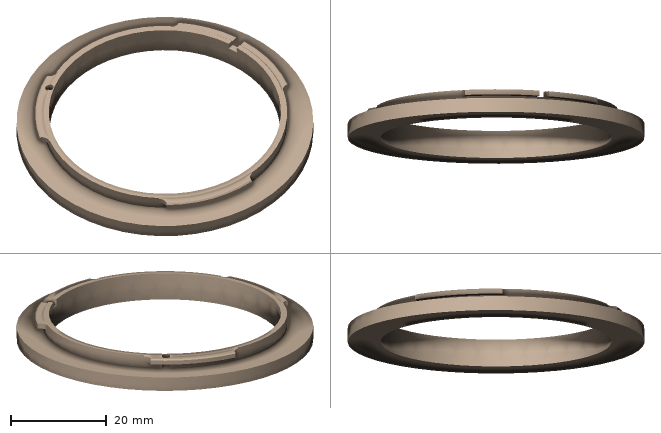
import cadquery as cq
import math

flange_radius = 31.0
flange_height = 3.0
bore_radius = 24.1
bore_top_radius = 24.25
collar_radius = 25.55
total_height = 5.75

tab_spans = [(54.2, 119.7), (192.0, 231.5), (306.7, 348.1)]
tab_radius = 27.1
tab_bottom = 4.4
edge_bevel = 0.25
tab_top = total_height - edge_bevel
tab_end_radius = tab_radius - collar_radius
tab_end_flare = math.degrees(tab_end_radius / collar_radius)
tab_overlap = 0.6

notch_width = 2.05
notch_bottom = tab_bottom

pin_diameter = 1.75
pin_position_radius = 25.25
pin_angle = 199.0


def polar(radius, degrees):
    angle = math.radians(degrees)
    return (radius * math.cos(angle), radius * math.sin(angle))


def flanged_collar():
    """Flange and collar around a bore that widens slightly towards the top."""
    return (
        cq.Workplane("XZ")
        .moveTo(bore_radius, 0)
        .lineTo(flange_radius, 0)
        .lineTo(flange_radius, flange_height)
        .lineTo(collar_radius, flange_height)
        .lineTo(collar_radius, total_height)
        .lineTo(bore_top_radius, total_height)
        .close()
        .revolve(360, (0, 0, 0), (0, 1, 0))
    )


def tab_sector(start, end):
    """Plan outline of a tab: a sector whose ends blend into the collar with concave arcs."""
    middle = (start + end) / 2
    root_start = start - tab_end_flare
    root_end = end + tab_end_flare
    fillet_radius = tab_radius - tab_end_radius * math.sqrt(0.5)
    fillet_angle = tab_end_flare * (1 - math.sqrt(0.5))
    inner_radius = collar_radius - tab_overlap
    return (
        cq.Workplane("XY")
        .workplane(offset=tab_bottom)
        .moveTo(*polar(inner_radius, root_start))
        .lineTo(*polar(collar_radius, root_start))
        .threePointArc(polar(fillet_radius, start - fillet_angle), polar(tab_radius, start))
        .threePointArc(polar(tab_radius, middle), polar(tab_radius, end))
        .threePointArc(polar(fillet_radius, end + fillet_angle), polar(collar_radius, root_end))
        .lineTo(*polar(inner_radius, root_end))
        .threePointArc(polar(inner_radius, middle), polar(inner_radius, root_start))
        .close()
        .extrude(total_height - tab_bottom)
    )


def tab_profile_ring():
    """Full ring with the section of a tab and of the bevelled collar edge above it."""
    return (
        cq.Workplane("XZ")
        .moveTo(collar_radius - tab_overlap, tab_bottom)
        .lineTo(tab_radius, tab_bottom)
        .lineTo(tab_radius, tab_top - edge_bevel)
        .lineTo(tab_radius - edge_bevel, tab_top)
        .lineTo(collar_radius, tab_top)
        .lineTo(collar_radius - edge_bevel, total_height)
        .lineTo(collar_radius - tab_overlap, total_height)
        .close()
        .revolve(360, (0, 0, 0), (0, 1, 0))
    )


body = flanged_collar()
tab_ring = tab_profile_ring()
for start, end in tab_spans:
    sector = tab_sector(start, end)
    body = body.cut(sector).union(sector.intersect(tab_ring))

notch_length = 2 * (tab_radius - bore_radius)
notch = cq.Workplane("XY").box(notch_width, notch_length, total_height, centered=(True, True, False))
body = body.cut(notch.translate((0, (tab_radius + bore_radius) / 2, notch_bottom)))

pin_hole = (
    cq.Workplane("XY")
    .workplane(offset=flange_height)
    .center(*polar(pin_position_radius, pin_angle))
    .circle(pin_diameter / 2)
    .extrude(total_height - flange_height)
)
result = body.cut(pin_hole, clean=False)